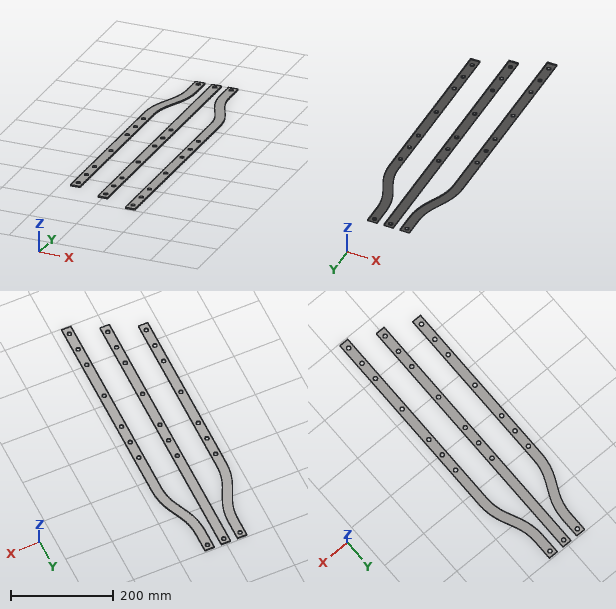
import cadquery as cq
import math

longest_length = 593.0
length_step = 27.0
strip_width = 20.0
thickness = 3.0
overall_width = 160.0

hole_diameter = 8.5
head_hole_inset = 10.0
tail_hole_inset = 15.0
hole_row_length = 324.0
hole_pitch = hole_row_length / 8
hole_pitch_counts = (0, 1, 2, 4, 6, 7, 8)

jog_start = 43.0
jog_offset = 35.0
bend_radius = 118.5
bend_angle = math.radians(25)

half_width = strip_width / 2
tail_x = overall_width / 2 - half_width
head_x = tail_x - jog_offset
jog_straight = (jog_offset - 2 * bend_radius * (1 - math.cos(bend_angle))) / math.sin(bend_angle)
jog_end = jog_start + 2 * bend_radius * math.sin(bend_angle) + jog_straight * math.cos(bend_angle)


def drill_holes(strip, side, head_hole_x, tail_hole_x, length):
    """Drill the head hole and the row of tail holes through a strip."""
    tail_hole_y = tail_hole_inset - length
    points = [(side * head_hole_x, -head_hole_inset)]
    for count in hole_pitch_counts:
        points.append((side * tail_hole_x, tail_hole_y + count * hole_pitch))
    holes = cq.Workplane("XY").pushPoints(points).circle(hole_diameter / 2).extrude(thickness)
    return strip.cut(holes)


def make_straight_strip(length):
    blank = cq.Workplane("XY").center(0, -length / 2).rect(strip_width, length).extrude(thickness)
    return drill_holes(blank, 1, 0, 0, length)


def make_jogged_strip(side, length):
    """Strip whose tail is shifted outward: side = -1 toward -X, +1 toward +X."""

    def head_bend_point(angle, offset):
        """Point on the head bend, offset outward from the centre line."""
        radius = bend_radius - offset
        x = head_x + bend_radius - radius * math.cos(angle)
        return (side * x, -jog_start - radius * math.sin(angle))

    def tail_bend_point(angle, offset):
        """Point on the tail bend, offset outward from the centre line."""
        radius = bend_radius + offset
        x = tail_x - bend_radius + radius * math.cos(angle)
        return (side * x, -jog_end + radius * math.sin(angle))

    inner = -half_width
    outer = half_width
    mid_angle = bend_angle / 2
    blank = (
        cq.Workplane("XY")
        .moveTo(side * (head_x + inner), 0)
        .lineTo(*head_bend_point(0, inner))
        .threePointArc(head_bend_point(mid_angle, inner), head_bend_point(bend_angle, inner))
        .lineTo(*tail_bend_point(bend_angle, inner))
        .threePointArc(tail_bend_point(mid_angle, inner), tail_bend_point(0, inner))
        .lineTo(side * (tail_x + inner), -length)
        .lineTo(side * (tail_x + outer), -length)
        .lineTo(*tail_bend_point(0, outer))
        .threePointArc(tail_bend_point(mid_angle, outer), tail_bend_point(bend_angle, outer))
        .lineTo(*head_bend_point(bend_angle, outer))
        .threePointArc(head_bend_point(mid_angle, outer), head_bend_point(0, outer))
        .lineTo(side * (head_x + outer), 0)
        .close()
        .extrude(thickness)
    )
    return drill_holes(blank, side, head_x, tail_x, length)


right_strip = make_jogged_strip(1, longest_length)
middle_strip = make_straight_strip(longest_length - length_step)
left_strip = make_jogged_strip(-1, longest_length - 2 * length_step)

result = cq.Compound.makeCompound([left_strip.val(), middle_strip.val(), right_strip.val()])